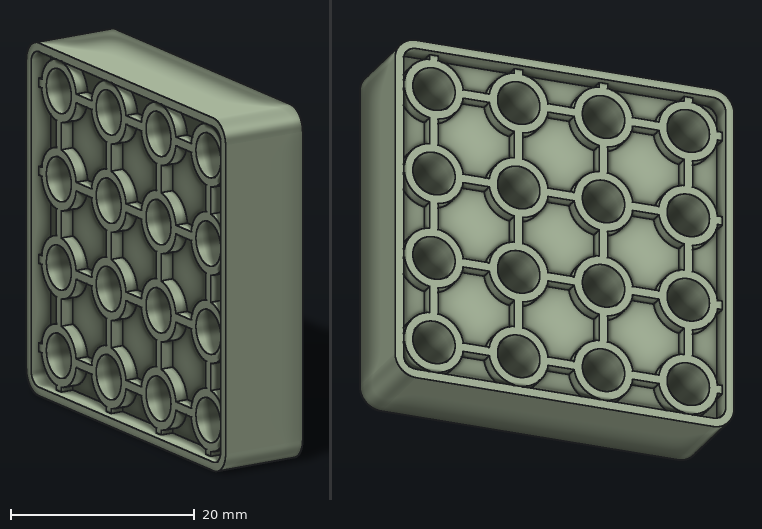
import cadquery as cq

pitch = 10.0
holes_per_side = 4
depth = 10.0
corner_radius = 2.5
wall = 1.0
hole_diameter = 5.0
tube_diameter = 7.0
rib_thickness = 1.0
grid_recess = 1.0
pocket_depth = 2.5

side = pitch * holes_per_side
inner_side = side - 2 * wall
inner_radius = corner_radius - wall
rim_y = -depth / 2
back_y = depth / 2
grid_y = rim_y + grid_recess
floor_y = rim_y + pocket_depth
grid_lines = [(i - (holes_per_side - 1) / 2) * pitch for i in range(holes_per_side)]
grid_points = [(x, z) for x in grid_lines for z in grid_lines]


def rounded_square(size, radius, start_y, end_y):
    """Square prism along Y with rounded corners, from start_y to end_y."""
    length = end_y - start_y
    return (
        cq.Workplane("XY")
        .box(size, length, size)
        .edges("|Y")
        .fillet(radius)
        .translate((0, (start_y + end_y) / 2, 0))
    )


def grid_cylinders(diameter, start_y, end_y):
    """One cylinder along Y at every grid point, from start_y to end_y."""
    return (
        cq.Workplane("XZ", origin=(0, end_y, 0))
        .pushPoints(grid_points)
        .circle(diameter / 2)
        .extrude(end_y - start_y)
    )


def add_ribs(body):
    """Straight ribs along every grid line, wall to wall, standing on the floor."""
    length = side - wall
    ribs_end_y = (floor_y + back_y) / 2
    height = ribs_end_y - grid_y
    middle_y = (grid_y + ribs_end_y) / 2
    for line in grid_lines:
        across = cq.Workplane("XY").box(length, height, rib_thickness)
        upright = cq.Workplane("XY").box(rib_thickness, height, length)
        body = body.union(across.translate((0, middle_y, line)))
        body = body.union(upright.translate((line, middle_y, 0)))
    return body


block = rounded_square(side, corner_radius, rim_y, back_y)
pocket = rounded_square(inner_side, inner_radius, rim_y, floor_y)
tray = add_ribs(block.cut(pocket))
tubes = grid_cylinders(tube_diameter, grid_y, back_y)
holes = grid_cylinders(hole_diameter, rim_y, back_y)
result = tray.union(tubes).cut(holes)